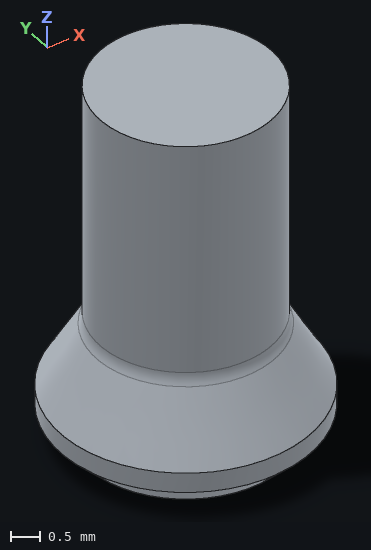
import cadquery as cq
import math

total_height = 7.2
shank_radius = 1.75
head_radius = 2.55
base_chamfer = 0.55
band_height = 0.4
cone_half_angle = 30.0
neck_fillet_radius = 0.5

cone_angle = math.radians(cone_half_angle)
band_top = base_chamfer + band_height
neck_z = band_top + (head_radius - shank_radius) / math.tan(cone_angle)


def fillet_point(angle):
    """Point on the neck fillet, turned by angle from its tangency with the shank."""
    center_r = shank_radius + neck_fillet_radius
    center_z = neck_z + neck_fillet_radius * math.tan(cone_angle / 2)
    return (
        center_r - neck_fillet_radius * math.cos(angle),
        center_z - neck_fillet_radius * math.sin(angle),
    )


profile = (
    cq.Workplane("XZ")
    .moveTo(0, 0)
    .lineTo(head_radius - base_chamfer, 0)
    .lineTo(head_radius, base_chamfer)
    .lineTo(head_radius, band_top)
    .lineTo(*fillet_point(cone_angle))
    .threePointArc(fillet_point(cone_angle / 2), fillet_point(0))
    .lineTo(shank_radius, total_height)
    .lineTo(0, total_height)
    .close()
)

result = profile.revolve(360, (0, 0, 0), (0, 1, 0))